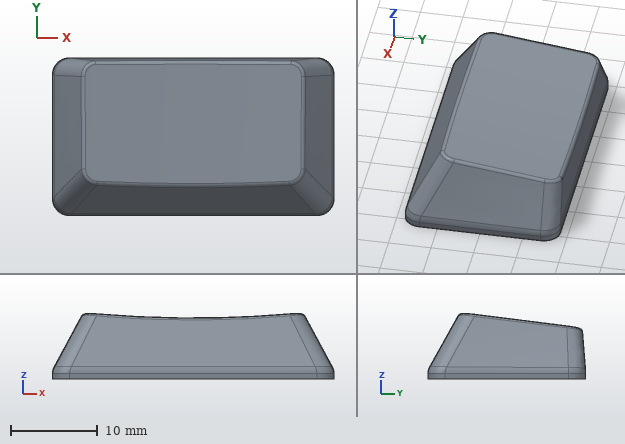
import cadquery as cq

length = 32.45
width = 18.17
corner_radius = 1.98
skirt_height = 0.65

bend_height = 1.0
shoulder_fraction = 0.06
shoulder_steps = 4

top_length = 25.38
top_width = 14.1
top_centre_y = 1.7
top_height = 6.9
top_tilt = 7.2
top_corner_radius = 1.8

dish_radius = 123.3
dish_height = 6.35
rim_round = 0.5

base_section = (length, width, 0, 0, 0, corner_radius)
skirt_section = (length, width, 0, skirt_height, 0, corner_radius)
bend_section = (length, width, 0, bend_height, 0, corner_radius)
top_section = (top_length, top_width, top_centre_y, top_height, top_tilt, top_corner_radius)


def blend(first, second, fraction):
    """Cross-section part of the way from the first to the second."""
    return tuple(a + (b - a) * fraction for a, b in zip(first, second))


shoulder_section = blend(bend_section, top_section, shoulder_fraction)


def shoulder_blend(fraction):
    """Quadratic curve from skirt to walls, tangent to both."""
    lower = blend(skirt_section, bend_section, fraction)
    upper = blend(bend_section, shoulder_section, fraction)
    return blend(lower, upper, fraction)


def outline(section):
    """Rounded rectangle placed and tilted in space."""
    section_length, section_width, centre_y, height, tilt, radius = section
    sketch = cq.Sketch().rect(section_length, section_width).vertices().fillet(radius)
    return sketch.moved(cq.Location(cq.Vector(0, centre_y, height), cq.Vector(1, 0, 0), -tilt))


def loft(*sections):
    """Solid passing through the given cross-sections."""
    outlines = [outline(section) for section in sections]
    return cq.Workplane("XY").placeSketch(*outlines).loft()


def make_blank():
    """Skirt, curved shoulder and leaning walls, with a flat tilted top."""
    shoulder_sections = [
        shoulder_blend(step / shoulder_steps) for step in range(shoulder_steps + 1)
    ]
    skirt = loft(base_section, skirt_section)
    shoulder = loft(*shoulder_sections)
    walls = loft(shoulder_section, top_section)
    return skirt.union(shoulder).union(walls)


def make_dish_cutter():
    """Large cylinder, tilted about X, that hollows the top along the part's width."""
    cylinder = (
        cq.Workplane("XZ")
        .center(0, dish_radius)
        .circle(dish_radius)
        .extrude(width, both=True)
    )
    return cylinder.rotate((0, 0, 0), (1, 0, 0), -top_tilt).translate((0, 0, dish_height))


def round_rim(body):
    """Round the edge where the dish meets the walls."""
    rim_zone = cq.selectors.BoxSelector(
        (-length, -width, top_height / 2), (length, width, 2 * top_height)
    )
    rim = body.faces("not <Z").edges(rim_zone)
    return rim.fillet(rim_round)


result = round_rim(make_blank().cut(make_dish_cutter()))